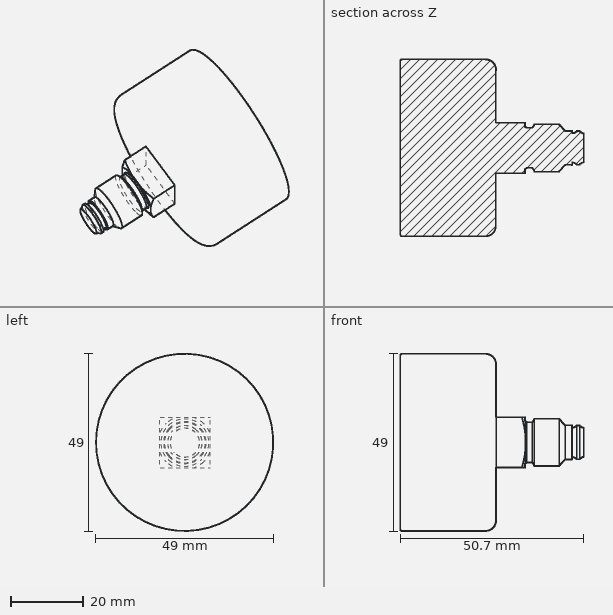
import cadquery as cq
import math

case_diameter = 49.0
case_length = 26.5
front_edge_radius = 0.5
back_edge_radius = 3.0

square_width = 14.0
square_end = 34.5
square_end_radius = 7.4
square_chamfer_angle = 20.0

neck_root_diameter = 11.7
neck_diameter = 11.2
barrel_diameter = 13.16
collar_diameter = 9.5
groove_diameter = 8.1
ridge_diameter = 9.4
tip_diameter = 8.0

barrel_entry_angle = 30.0

collar_break_length = 0.15
collar_break_depth = 0.05

neck_cone_end = 35.0
neck_end = 36.5
barrel_entry_rise = (barrel_diameter - neck_diameter) / 2
barrel_start = neck_end + barrel_entry_rise * math.tan(math.radians(barrel_entry_angle))
barrel_end = 43.85
shoulder_end = 45.5
collar_end = 47.5
ridge_start = 48.8
ridge_end = 49.5
stem_end = 50.7

groove_sag = 0.15
tip_sag = 0.12


def hollow_midpoint(start, end, sag):
    """Point at mid-length of a flank, lowered toward the axis by sag."""
    return ((start[0] + end[0]) / 2, (start[1] + end[1]) / 2 - sag)


def revolve_about_x(profile):
    return profile.close().revolve(360, (0, 0, 0), (1, 0, 0))


def make_case():
    case = cq.Workplane("YZ").circle(case_diameter / 2).extrude(case_length)
    case = case.faces("<X").edges().fillet(front_edge_radius)
    return case.faces(">X").edges().fillet(back_edge_radius)


def make_square():
    """Square bar whose free corners are turned off by a shallow cone."""
    length = square_end - case_length
    base_plane = cq.Workplane("YZ", origin=(case_length, 0, 0))
    bar = base_plane.rect(square_width, square_width).extrude(length)
    corner_radius = square_width / math.sqrt(2)
    cone_length = (corner_radius - square_end_radius) * math.tan(math.radians(square_chamfer_angle))
    envelope = revolve_about_x(
        cq.Workplane("XY")
        .moveTo(case_length, 0)
        .lineTo(case_length, corner_radius)
        .lineTo(square_end - cone_length, corner_radius)
        .lineTo(square_end, square_end_radius)
        .lineTo(square_end, 0)
    )
    return bar.intersect(envelope)


def make_stem():
    groove_bottom = (collar_end, groove_diameter / 2)
    ridge_front = (ridge_start, ridge_diameter / 2)
    ridge_back = (ridge_end, ridge_diameter / 2)
    tip = (stem_end, tip_diameter / 2)
    return revolve_about_x(
        cq.Workplane("XY")
        .moveTo(square_end, 0)
        .lineTo(square_end, neck_root_diameter / 2)
        .lineTo(neck_cone_end, neck_diameter / 2)
        .lineTo(neck_end, neck_diameter / 2)
        .lineTo(barrel_start, barrel_diameter / 2)
        .lineTo(barrel_end, barrel_diameter / 2)
        .lineTo(shoulder_end, collar_diameter / 2)
        .lineTo(collar_end - collar_break_length, collar_diameter / 2)
        .lineTo(collar_end, collar_diameter / 2 - collar_break_depth)
        .lineTo(*groove_bottom)
        .threePointArc(hollow_midpoint(groove_bottom, ridge_front, groove_sag), ridge_front)
        .lineTo(*ridge_back)
        .threePointArc(hollow_midpoint(ridge_back, tip, tip_sag), tip)
        .lineTo(stem_end, 0)
    )


result = make_case().union(make_square()).union(make_stem())